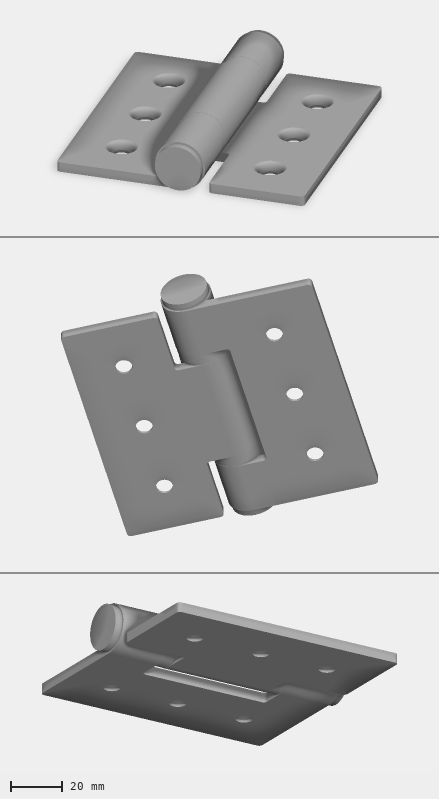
import cadquery as cq

pin_length = 106.0
leaf_span = 100.0
barrel_diameter = 20.0
washer_diameter = 19.8
pin_diameter = 18.4
plate_thickness = 4.0

end_knuckle_length = 22.0
washer_length = 5.0
middle_knuckle_length = leaf_span - 2 * (end_knuckle_length + washer_length)

barrel_clearance = 1.5
corner_radius = 1.5
hole_pitch = 30.0
hole_offset = 30.0
hole_diameter = 6.5
countersink_diameter = 12.5
countersink_angle = 90

barrel_radius = barrel_diameter / 2
half_span = leaf_span / 2
plate_bottom = -barrel_radius
plate_top = plate_bottom + plate_thickness
clear_edge = barrel_radius + barrel_clearance
middle_half = middle_knuckle_length / 2
washer_outer_end = middle_half + washer_length
end_knuckle_middle = washer_outer_end + end_knuckle_length / 2
washer_middle = middle_half + washer_length / 2


def cylinder(diameter, length, y_middle=0.0):
    """Solid cylinder on the hinge axis, centred at y_middle."""
    return (
        cq.Workplane("XZ", origin=(0, y_middle + length / 2, 0))
        .circle(diameter / 2)
        .extrude(length)
    )


def block(x_start, x_end, y_start, y_end):
    """Flat rectangular block as thick as the leaf plates."""
    return (
        cq.Workplane("XY", origin=(0, 0, plate_bottom))
        .moveTo(x_start, y_start)
        .lineTo(x_end, y_start)
        .lineTo(x_end, y_end)
        .lineTo(x_start, y_end)
        .close()
        .extrude(plate_thickness)
    )


def round_corners(plate, x, y):
    """Round the two upright plate edges at (x, y) and (x, -y)."""
    for y_edge in (-y, y):
        edge = cq.selectors.NearestToPointSelector((x, y_edge, plate_bottom + plate_thickness / 2))
        plate = plate.edges("|Z").edges(edge).fillet(corner_radius)
    return plate


def add_screw_holes(plate, x):
    """Cut a row of three countersunk screw holes."""
    return (
        plate.copyWorkplane(cq.Workplane("XY", origin=(0, 0, plate_top)))
        .pushPoints([(x, row * hole_pitch) for row in (-1, 0, 1)])
        .cskHole(hole_diameter, countersink_diameter, countersink_angle)
    )


def finish_leaf(plate, knuckles):
    """Join knuckles to their plate and bore them for the pin."""
    leaf = plate
    for knuckle in knuckles:
        leaf = leaf.union(knuckle)
    return leaf.cut(cylinder(pin_diameter, pin_length))


def make_outer_leaf():
    """Leaf on the -X side with a knuckle at each end and a slot between them."""
    plate = block(-half_span, 0, -half_span, half_span)
    plate = plate.cut(block(-clear_edge, 0, -washer_outer_end, washer_outer_end))
    plate = round_corners(plate, -half_span, half_span)
    plate = round_corners(plate, -clear_edge, washer_outer_end)
    plate = add_screw_holes(plate, -hole_offset)
    knuckles = [
        cylinder(barrel_diameter, end_knuckle_length, side * end_knuckle_middle)
        for side in (-1, 1)
    ]
    return finish_leaf(plate, knuckles)


def make_middle_leaf():
    """Leaf on the +X side with one long knuckle in the middle."""
    plate = block(clear_edge, half_span, -half_span, half_span)
    plate = plate.union(block(0, clear_edge, -middle_half, middle_half))
    plate = round_corners(plate, half_span, half_span)
    plate = round_corners(plate, clear_edge, half_span)
    plate = round_corners(plate, clear_edge, middle_half)
    plate = add_screw_holes(plate, hole_offset)
    return finish_leaf(plate, [cylinder(barrel_diameter, middle_knuckle_length)])


def make_washer(y_middle):
    """Bearing ring between two knuckles."""
    ring = cylinder(washer_diameter, washer_length, y_middle)
    return ring.cut(cylinder(pin_diameter, washer_length, y_middle))


outer_leaf = make_outer_leaf()
middle_leaf = make_middle_leaf()
washers = [make_washer(side * washer_middle) for side in (-1, 1)]
pin = cylinder(pin_diameter, pin_length)

result = cq.Compound.makeCompound(
    [outer_leaf.val(), middle_leaf.val(), *[washer.val() for washer in washers], pin.val()]
)